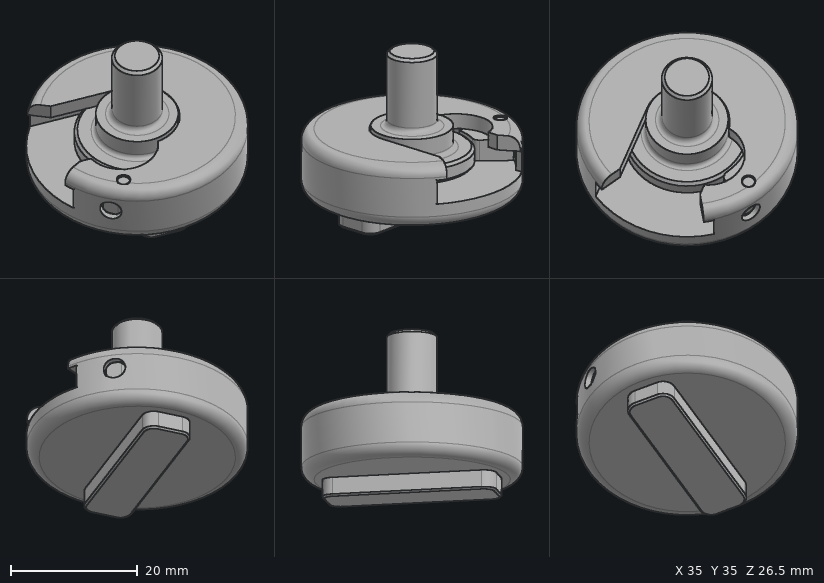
import cadquery as cq
import math

disc_radius = 17.5
disc_height = 10.5
rim_fillet = 2.0

key_length = 28.0
key_width = 8.0
key_height = 3.0
key_corner_radius = 2.0
key_chamfer = 0.3

cavity_floor = 4.0
cavity_ceiling = 8.0
cavity_radius = 9.95
keyhole_radius = 6.75
flare_start_y = -12.03
flare_angle = 60.0
side_window_x = 5.28
side_window_y = -4.55
side_window_radius = 5.8

latch_bottom = 4.23
latch_top = 7.73
latch_end_y = -1.05
latch_tip = (23.2, -16.5)
latch_tip_fillet = 1.12
latch_heel = (12.52, -10.28)
latch_outer_radius = 16.45
latch_back_angle = -30.6
pin_diameter = 2.0
pin_x = 13.05
pin_y = -7.03
pin_bottom = 2.0
pin_recess = 0.3
pin_mouth_chamfer = 0.1

rim_hole_diameter = 3.5
rim_hole_angle = -33.8
rim_hole_z = (cavity_floor + cavity_ceiling) / 2
rim_hole_inner_radius = 14.7

flange_radius = 9.9
flange_bottom = 4.5
flange_top = 7.5
flange_chamfer = 0.5
collar_radius = 6.5
collar_top = 11.0
collar_fillet = 0.77
stud_radius = 4.0
stud_top = 23.5
stud_fillet = 1.0
stud_chamfer = 0.5


def polar(radius, degrees):
    angle = math.radians(degrees)
    return (radius * math.cos(angle), radius * math.sin(angle))


def prism(outline, bottom, top):
    return outline.extrude(top - bottom).translate((0, 0, bottom))


def cylinder(radius, bottom, top, x=0, y=0):
    return prism(cq.Workplane("XY").center(x, y).circle(radius), bottom, top)


def latch_plate(bottom, top):
    """Plate whose concave side follows the slot cavity around the flange."""
    inner_end = (math.sqrt(cavity_radius**2 - latch_end_y**2), latch_end_y)
    outer_end = (math.sqrt(latch_outer_radius**2 - latch_end_y**2), latch_end_y)
    tip_angle = math.degrees(math.atan2(latch_tip[1], latch_tip[0]))
    tip = polar(cavity_radius, tip_angle)
    inner_middle = polar(cavity_radius, tip_angle / 2)
    outer_middle = polar(latch_outer_radius, latch_back_angle / 2)
    outline = (
        cq.Workplane("XY")
        .moveTo(*tip)
        .lineTo(*latch_heel)
        .lineTo(*polar(latch_outer_radius, latch_back_angle))
        .threePointArc(outer_middle, outer_end)
        .lineTo(*inner_end)
        .threePointArc(inner_middle, tip)
        .close()
    )
    tip_edge = cq.selectors.NearestToPointSelector((*tip, (bottom + top) / 2))
    return prism(outline, bottom, top).edges(tip_edge).fillet(latch_tip_fillet)


def slot_cavity():
    round_end = cylinder(cavity_radius, cavity_floor, cavity_ceiling)
    channel = cq.Workplane("XY").center(0, -disc_radius / 2).rect(2 * cavity_radius, disc_radius)
    return round_end.union(prism(channel, cavity_floor, cavity_ceiling))


def latch_pocket():
    """Side room of the slot, bounded outside by an arc along the rim."""
    room_length = disc_radius + latch_end_y
    quadrant = cq.Workplane("XY").center(disc_radius / 2, latch_end_y - room_length / 2)
    quadrant = quadrant.rect(disc_radius, room_length)
    pocket_round = cylinder(latch_outer_radius, cavity_floor, cavity_ceiling)
    return pocket_round.intersect(prism(quadrant, cavity_floor, cavity_ceiling))


def keyhole_opening():
    """Opening in the top wall: round seat, straight channel, flared mouth, side window."""
    mouth_half_width = keyhole_radius + (disc_radius + flare_start_y) / math.tan(math.radians(flare_angle))
    channel = cq.Workplane("XY").polyline([
        (-keyhole_radius, 0),
        (-keyhole_radius, flare_start_y),
        (-mouth_half_width, -disc_radius),
        (mouth_half_width, -disc_radius),
        (keyhole_radius, flare_start_y),
        (keyhole_radius, 0),
    ]).close()
    seat = cylinder(keyhole_radius, cavity_ceiling, disc_height)
    window = cylinder(side_window_radius, cavity_ceiling, disc_height, side_window_x, side_window_y)
    return seat.union(prism(channel, cavity_ceiling, disc_height)).union(window)


def rim_hole():
    """Radial hole from the latch pocket out through the rim."""
    direction = cq.Vector(*polar(1, rim_hole_angle), 0)
    start = direction * rim_hole_inner_radius + cq.Vector(0, 0, rim_hole_z)
    length = disc_radius + rim_fillet - rim_hole_inner_radius
    return cq.Workplane(cq.Solid.makeCylinder(rim_hole_diameter / 2, length, start, direction))


def pin_hole():
    hole = cylinder(pin_diameter / 2, pin_bottom, disc_height, pin_x, pin_y)
    mouth = cq.Solid.makeCone(
        pin_diameter / 2,
        pin_diameter / 2 + pin_mouth_chamfer,
        pin_mouth_chamfer,
        cq.Vector(pin_x, pin_y, disc_height - pin_mouth_chamfer),
    )
    return hole.union(cq.Workplane(mouth))


def make_housing():
    disc = cylinder(disc_radius, 0, disc_height).edges().fillet(rim_fillet)
    key = (
        prism(cq.Workplane("XY").rect(key_length, key_width), -key_height, 0)
        .edges("|Z").fillet(key_corner_radius)
        .faces("<Z").edges().chamfer(key_chamfer)
    )
    return (
        disc.union(key)
        .cut(slot_cavity())
        .cut(keyhole_opening())
        .cut(latch_pocket())
        .cut(rim_hole())
        .cut(pin_hole())
    )


def inner_edge_at(body, height):
    """Smallest circular edge of a turned body at the given height."""
    margin = 0.05
    level = cq.selectors.BoxSelector(
        (-disc_radius, -disc_radius, height - margin),
        (disc_radius, disc_radius, height + margin),
    )
    return body.edges(level).edges(cq.selectors.RadiusNthSelector(0))


def make_bolt():
    flange = cylinder(flange_radius, flange_bottom, flange_top).edges().chamfer(flange_chamfer)
    collar = cylinder(collar_radius, flange_top, collar_top)
    stud = cylinder(stud_radius, collar_top, stud_top).faces(">Z").edges().chamfer(stud_chamfer)
    bolt = flange.union(collar).union(stud)
    bolt = inner_edge_at(bolt, flange_top).fillet(collar_fillet)
    return inner_edge_at(bolt, collar_top).fillet(stud_fillet)


def make_pin():
    return cylinder(pin_diameter / 2, pin_bottom, disc_height - pin_recess, pin_x, pin_y)


def make_latch():
    pivot_hole = cylinder(pin_diameter / 2, latch_bottom, latch_top, pin_x, pin_y)
    return latch_plate(latch_bottom, latch_top).cut(pivot_hole)


housing = make_housing()
bolt = make_bolt()
latch = make_latch()
pin = make_pin()

result = cq.Compound.makeCompound([housing.val(), bolt.val(), latch.val(), pin.val()])